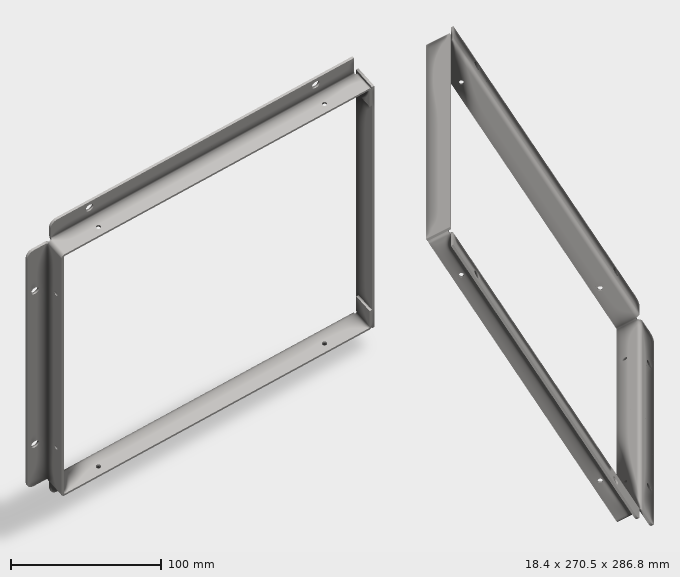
import cadquery as cq

depth = 18.4
length = 270.5
height = 286.8

sheet = 1.85
inner_bend = 1.0
outer_bend = inner_bend + sheet

flange_leg = 18.0
tab_leg = 19.5
flange_corner_radius = 5.5

flange_hole_diameter = 6.3
wall_hole_diameter = 3.5
flange_hole_edge = 6.3
wall_hole_x = 12.0
upright_hole_spacing = 161.7
rail_hole_spacing = 183.8
rail_hole_center_y = 142.5

wall_front = flange_leg - sheet
wall_back = length - sheet
wall_bottom = flange_leg - sheet
wall_top = height - wall_bottom

rail_start = wall_front + outer_bend
rail_end = wall_back - outer_bend
upright_start = wall_bottom + outer_bend
upright_end = wall_top - outer_bend

rail_hole_ys = [rail_hole_center_y + side * rail_hole_spacing / 2 for side in (-1, 1)]
upright_hole_zs = [height / 2 + side * upright_hole_spacing / 2 for side in (-1, 1)]


def box(x0, x1, y0, y1, z0, z1):
    """Box between two opposite corners."""
    return cq.Workplane("XY").box(x1 - x0, y1 - y0, z1 - z0, centered=False).translate((x0, y0, z0))


def make_wall_band():
    """Bent strip: front wall, both rails and the two tabs that turn in along the back."""
    band_depth = depth - outer_bend
    band_length = wall_back - wall_front
    band_height = wall_top - wall_bottom
    center_y = (wall_front + wall_back) / 2

    def ring_block(inset, radius):
        return (
            cq.Workplane("YZ", origin=(outer_bend, center_y, height / 2))
            .rect(band_length - 2 * inset, band_height - 2 * inset)
            .extrude(band_depth)
            .edges("|X")
            .fillet(radius)
        )

    ring = ring_block(0, outer_bend).cut(ring_block(sheet, inner_bend))
    back_opening = box(
        outer_bend, depth, wall_back - outer_bend, wall_back, wall_bottom + tab_leg, wall_top - tab_leg
    )
    return ring.cut(back_opening)


def make_flange_profile(plane):
    """Outward flange and its bend, in a section whose second axis runs outward from the opening."""
    diagonal = 0.5 ** 0.5
    outer_mid = outer_bend * (1 - diagonal)
    inner_mid = outer_bend - inner_bend * diagonal
    return (
        cq.Workplane(plane)
        .moveTo(0, flange_leg)
        .lineTo(0, outer_bend)
        .threePointArc((outer_mid, outer_mid), (outer_bend, 0))
        .lineTo(outer_bend, sheet)
        .threePointArc((inner_mid, inner_mid), (sheet, outer_bend))
        .lineTo(sheet, flange_leg)
        .close()
    )


def make_top_flange():
    """Flange of the top rail, rounded at its front corner."""
    flange = make_flange_profile("XZ").extrude(rail_start - rail_end)
    flange = flange.translate((0, rail_start, height - flange_leg))
    flange = flange.edges("|X and >Z and <Y").fillet(flange_corner_radius)
    for y in rail_hole_ys:
        flange = flange.cut(
            cq.Workplane("YZ", origin=(0, y, height - flange_hole_edge))
            .circle(flange_hole_diameter / 2)
            .extrude(sheet)
        )
    return flange


def make_front_flange():
    """Flange of the front upright, rounded at both outer corners."""
    flange = make_flange_profile("XY").extrude(upright_end - upright_start)
    flange = flange.mirror("XZ").translate((0, flange_leg, upright_start))
    flange = flange.edges("|X and <Y").fillet(flange_corner_radius)
    for z in upright_hole_zs:
        flange = flange.cut(
            cq.Workplane("YZ", origin=(0, flange_hole_edge, z))
            .circle(flange_hole_diameter / 2)
            .extrude(sheet)
        )
    return flange


def drill_walls(body):
    """Small holes through both rails and through the front wall."""
    for y in rail_hole_ys:
        body = body.cut(
            cq.Workplane("XY", origin=(wall_hole_x, y, 0)).circle(wall_hole_diameter / 2).extrude(height)
        )
    for z in upright_hole_zs:
        body = body.cut(
            cq.Workplane("XZ", origin=(wall_hole_x, 0, z))
            .circle(wall_hole_diameter / 2)
            .extrude(-flange_leg)
        )
    return body


def make_frame():
    """Three-sided folded frame with outward flanges and back tabs."""
    top_flange = make_top_flange()
    bottom_flange = top_flange.mirror("XY", (0, 0, height / 2))
    frame = make_wall_band().union(top_flange).union(bottom_flange).union(make_front_flange())
    return drill_walls(frame)


def make_back_strip():
    """Flat strip that closes the back of the frame, lying against its tabs."""
    return box(0, depth, wall_back, length, wall_bottom, wall_top)


frame = make_frame()
back_strip = make_back_strip()

result = cq.Compound.makeCompound([frame.val(), back_strip.val()])